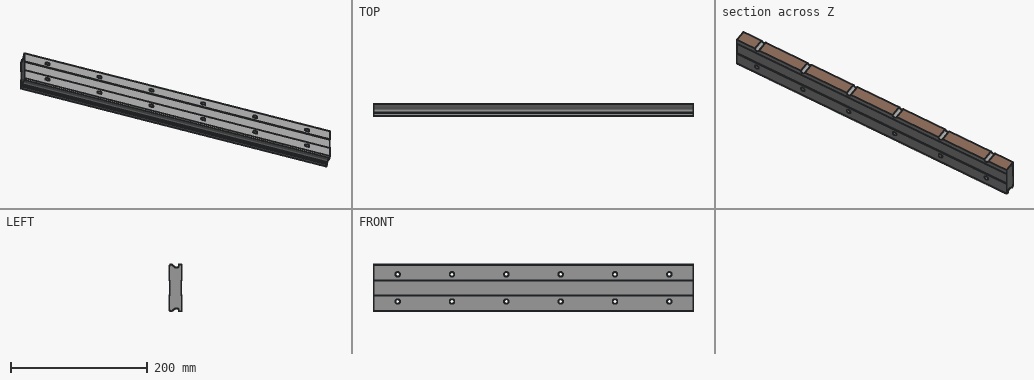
import cadquery as cq

length = 470.0
thickness = 19.0
height = 69.0
half_thickness = thickness / 2
half_height = height / 2

back_bevel_depth = 2.0
back_bevel_height = 2.5
front_chamfer = 1.0

groove_depth = 4.0
groove_back_y = 5.5
groove_floor_back_y = 0.5
groove_floor_front_y = -3.5
groove_front_y = -4.5
groove_front_wall = 3.0
groove_edge_radius = 1.5

relief_height = 21.0
relief_depth = 0.7

hole_diameter = 6.5
hole_columns = 6
hole_pitch_x = 80.0
hole_pitch_z = 40.0


def upper_profile():
    """(Y, Z) points of the upper half section, from the back face to the front face."""
    groove_floor_z = half_height - groove_depth
    return [
        (half_thickness - relief_depth, relief_height / 2),
        (half_thickness, relief_height / 2 + relief_depth),
        (half_thickness, half_height - back_bevel_height),
        (half_thickness - back_bevel_depth, half_height),
        (groove_back_y, half_height),
        (groove_floor_back_y, groove_floor_z),
        (groove_floor_front_y, groove_floor_z),
        (groove_front_y, half_height - groove_front_wall),
        (groove_front_y, half_height),
        (front_chamfer - half_thickness, half_height),
        (-half_thickness, half_height - front_chamfer),
        (-half_thickness, relief_height / 2 + relief_depth),
        (relief_depth - half_thickness, relief_height / 2),
    ]


def rail_body():
    """Section symmetric about Z = 0, extruded along X."""
    upper = upper_profile()
    lower = [(y, -z) for y, z in reversed(upper)]
    section = cq.Workplane("YZ").polyline(upper + lower).close()
    return section.extrude(length / 2, both=True)


def round_long_edges(body, y, z, radius):
    """Fillet the edges along X at (y, z) and (y, -z)."""
    for side in (1, -1):
        edge = cq.selectors.NearestToPointSelector((0, y, side * z))
        body = body.edges("|X").edges(edge).fillet(radius)
    return body


def rounded_rail():
    """Rail with the back flank of each groove blended at its crest and floor."""
    body = round_long_edges(rail_body(), groove_back_y, half_height, groove_edge_radius)
    return round_long_edges(body, groove_floor_back_y, half_height - groove_depth, groove_edge_radius)


def mounting_holes():
    """Cylinders that pass through the full thickness."""
    centers = cq.Workplane("XZ").rarray(hole_pitch_x, hole_pitch_z, hole_columns, 2)
    return centers.circle(hole_diameter / 2).extrude(thickness, both=True)


result = rounded_rail().cut(mounting_holes())